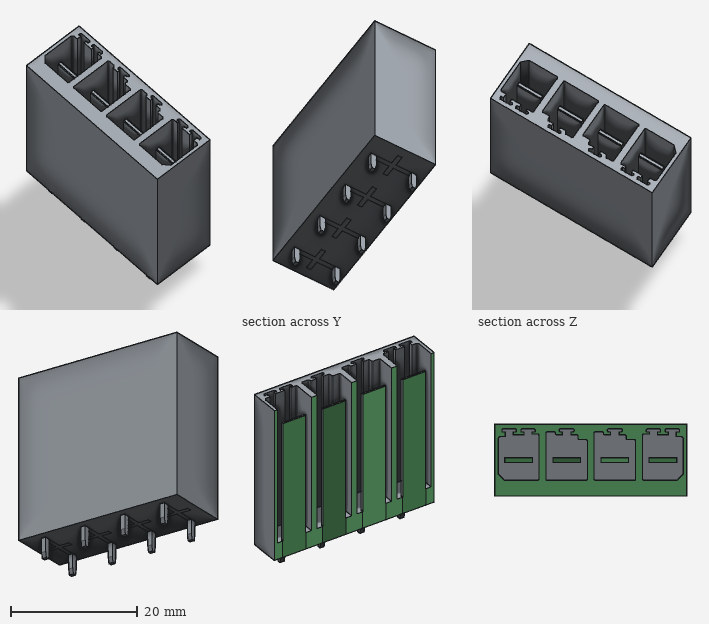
import cadquery as cq

POLES = 4
HOUSING_LENGTH = 30.45
PITCH = HOUSING_LENGTH / POLES
HOUSING_DEPTH = 11.4
OVERALL_HEIGHT = 31.8
LEG_LENGTH = 3.47
HOUSING_HEIGHT = OVERALL_HEIGHT - LEG_LENGTH

FLOOR = 3.18
POCKET_DEPTH = HOUSING_HEIGHT - FLOOR
POCKET_FRONT = -3.18
CORNER_RADIUS = 0.22
FRONT_CORNER_RADIUS = 0.15

END_POCKET_OUTER = -3.2
END_POCKET_INNER = 3.2
END_CHAMFER = 1.0
END_CORNER_RADIUS = 0.38
END_BACK_OUTER = 3.72
END_BACK_MIDDLE = 4.0
END_BACK_INNER = 4.13
END_SLOT_OFFSET = 1.5
END_SLOT_NECK = 1.25
END_SLOT_HEAD = 2.23

MIDDLE_POCKET_HALF = 3.28
MIDDLE_BACK_LEFT = 4.48
MIDDLE_BACK_CENTRE = 4.0
MIDDLE_BACK_RIGHT = 3.25
MIDDLE_STEP_LEFT = -1.8
MIDDLE_STEP_RIGHT = 1.78
MIDDLE_SLOT_NECK = 1.35
MIDDLE_SLOT_HEAD = 2.35

SLOT_HEAD_FRONT = 4.48
SLOT_BACK = 4.95

BLADE_WIDTH = 4.42
BLADE_THICKNESS = 0.8
BLADE_TOP = 25.35
BLADE_BEVEL_WIDTH = 0.15
BLADE_BEVEL_DROP = 0.08
LEG_THICKNESS = 0.8
LEG_WIDTH = 1.0
LEG_SPACING = 7.55
LEG_TAPER_LENGTH = 1.0
LEG_TIP_WIDTH = 0.6
BAR_LENGTH = LEG_SPACING + LEG_WIDTH
BAR_HEIGHT = 1.6


def pole_x(pole):
    """X of the centre of a pole, counted from the -X end."""
    return (pole - (POLES - 1) / 2) * PITCH


def prism(points):
    """Upright solid over an outline, from the pocket floor to the housing top."""
    return cq.Workplane("XY").workplane(offset=FLOOR).polyline(points).close().extrude(POCKET_DEPTH)


def upright_block(x_min, x_max, y_min, y_max):
    return prism([(x_min, y_min), (x_max, y_min), (x_max, y_max), (x_min, y_max)])


def t_slot(centre, neck, head, head_edges):
    """T-slot cutter; head_edges selects the head edges that are rounded."""
    head_block = upright_block(centre - head / 2, centre + head / 2, SLOT_HEAD_FRONT, SLOT_BACK)
    head_block = head_block.edges(head_edges).fillet(CORNER_RADIUS)
    neck_block = upright_block(centre - neck / 2, centre + neck / 2, 0, SLOT_BACK)
    return head_block.union(neck_block)


def end_pocket():
    """Pocket cutter for the -X end pole, about the pole centre."""
    chamber = prism([
        (END_POCKET_OUTER + END_CHAMFER, POCKET_FRONT),
        (END_POCKET_INNER, POCKET_FRONT),
        (END_POCKET_INNER, END_BACK_INNER),
        (END_SLOT_OFFSET, END_BACK_INNER),
        (END_SLOT_OFFSET, END_BACK_MIDDLE),
        (-END_SLOT_OFFSET, END_BACK_MIDDLE),
        (-END_SLOT_OFFSET, END_BACK_OUTER),
        (END_POCKET_OUTER, END_BACK_OUTER),
        (END_POCKET_OUTER, POCKET_FRONT + END_CHAMFER),
    ])
    outer_back_corner = cq.selectors.NearestToPointSelector(
        (END_POCKET_OUTER, END_BACK_OUTER, FLOOR + POCKET_DEPTH / 2))
    inner_front_corner = "|Z and >X and <Y"
    inner_back_corner = "|Z and >X and >Y"
    pocket = chamber.edges(outer_back_corner).fillet(END_CORNER_RADIUS)
    pocket = pocket.edges(inner_back_corner).fillet(CORNER_RADIUS)
    pocket = pocket.edges(inner_front_corner).fillet(FRONT_CORNER_RADIUS)
    for centre in (-END_SLOT_OFFSET, END_SLOT_OFFSET):
        pocket = pocket.union(t_slot(centre, END_SLOT_NECK, END_SLOT_HEAD, "|Z and >Y"))
    return pocket


def middle_pocket():
    """Pocket cutter for a middle pole, about the pole centre."""
    front = upright_block(-MIDDLE_POCKET_HALF, MIDDLE_POCKET_HALF, POCKET_FRONT, 0)
    front = front.edges("|Z and <Y").fillet(FRONT_CORNER_RADIUS)
    back = prism([
        (-MIDDLE_POCKET_HALF, 0),
        (MIDDLE_POCKET_HALF, 0),
        (MIDDLE_POCKET_HALF, MIDDLE_BACK_RIGHT),
        (MIDDLE_STEP_RIGHT, MIDDLE_BACK_RIGHT),
        (MIDDLE_STEP_RIGHT, MIDDLE_BACK_CENTRE),
        (MIDDLE_STEP_LEFT, MIDDLE_BACK_CENTRE),
        (MIDDLE_STEP_LEFT, MIDDLE_BACK_LEFT),
        (-MIDDLE_POCKET_HALF, MIDDLE_BACK_LEFT),
    ])
    back = back.edges("|Z and (not <Y)").fillet(CORNER_RADIUS)
    return front.union(back).union(t_slot(0, MIDDLE_SLOT_NECK, MIDDLE_SLOT_HEAD, "|Z"))


def contact():
    """Contact about the pole centre: bevelled blade, cross bar and two tapered legs."""
    half_thickness = BLADE_THICKNESS / 2
    blade = (
        cq.Workplane("YZ")
        .workplane(offset=-BLADE_WIDTH / 2)
        .polyline([
            (-half_thickness, 0),
            (half_thickness, 0),
            (half_thickness, BLADE_TOP - BLADE_BEVEL_DROP),
            (half_thickness - BLADE_BEVEL_WIDTH, BLADE_TOP),
            (BLADE_BEVEL_WIDTH - half_thickness, BLADE_TOP),
            (-half_thickness, BLADE_TOP - BLADE_BEVEL_DROP),
        ])
        .close()
        .extrude(BLADE_WIDTH)
    )
    bar = cq.Workplane("XY").box(LEG_THICKNESS, BAR_LENGTH, BAR_HEIGHT, centered=(True, True, False))
    body = blade.union(bar)
    taper_start = LEG_TAPER_LENGTH - LEG_LENGTH
    for leg_y in (-LEG_SPACING / 2, LEG_SPACING / 2):
        leg = (
            cq.Workplane("YZ")
            .workplane(offset=-LEG_THICKNESS / 2)
            .polyline([
                (leg_y - LEG_WIDTH / 2, 0),
                (leg_y - LEG_WIDTH / 2, taper_start),
                (leg_y - LEG_TIP_WIDTH / 2, -LEG_LENGTH),
                (leg_y + LEG_TIP_WIDTH / 2, -LEG_LENGTH),
                (leg_y + LEG_WIDTH / 2, taper_start),
                (leg_y + LEG_WIDTH / 2, 0),
            ])
            .close()
            .extrude(LEG_THICKNESS)
        )
        body = body.union(leg)
    return body


def build_housing(contacts):
    """Block with one pocket per pole and a matching recess for each contact."""
    body = cq.Workplane("XY").box(
        HOUSING_LENGTH, HOUSING_DEPTH, HOUSING_HEIGHT, centered=(True, True, False))
    first_pocket = end_pocket().translate((pole_x(0), 0, 0))
    body = body.cut(first_pocket).cut(first_pocket.mirror("YZ"))
    for pole in range(1, POLES - 1):
        body = body.cut(middle_pocket().translate((pole_x(pole), 0, 0)))
    for seated_contact in contacts:
        body = body.cut(seated_contact)
    return body


contacts = [contact().translate((pole_x(pole), 0, 0)) for pole in range(POLES)]
housing = build_housing(contacts)

result = cq.Compound.makeCompound([housing.val(), *[seated.val() for seated in contacts]])